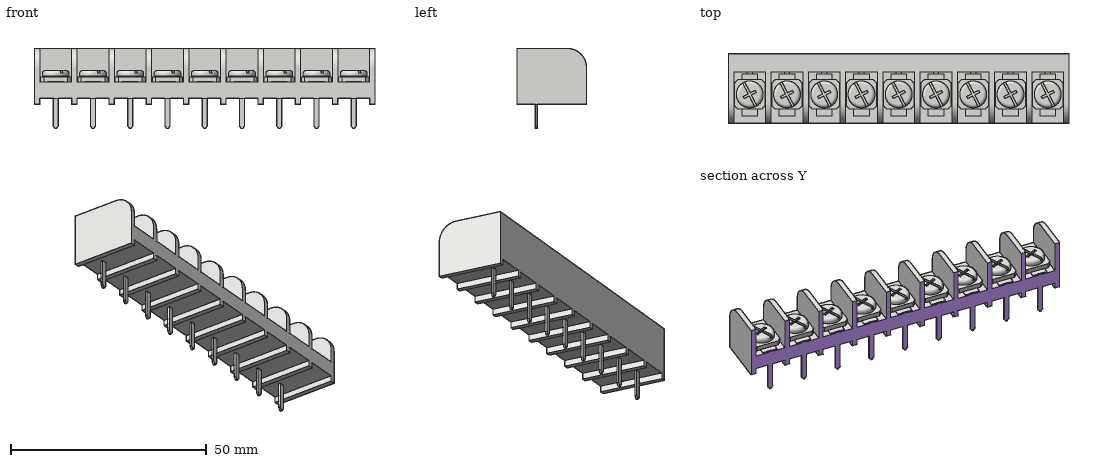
import cadquery as cq


LENGTH = 87
DEPTH = 17.8
BODY_HEIGHT = 14.35
CELL_COUNT = 9
WALL = 1.4
PITCH = (LENGTH - WALL) / CELL_COUNT
CELL_WIDTH = PITCH - WALL
FLOOR_Z = 5.7
BACK_THICKNESS = 4.7
NOSE_RADIUS = 5.0
FOOT_HEIGHT = 1.6

FRONT_Y = -DEPTH / 2
BACK_Y = DEPTH / 2
CELL_BACK_Y = BACK_Y - BACK_THICKNESS

TOTAL_HEIGHT = 20.5
PIN_WIDTH = 1.4
PIN_THICKNESS = 0.5
PIN_TIP_WIDTH = 0.35
PIN_TIP_LENGTH = 0.7
PIN_BOTTOM_Z = BODY_HEIGHT - TOTAL_HEIGHT
PIN_Y = CELL_BACK_Y - PIN_THICKNESS / 2

STRIP_WIDTH = 4.0
STRIP_LENGTH = 10.7
STRIP_RISE = 0.1
PIN_TOP_Z = FLOOR_Z + 2 * STRIP_RISE
STRIP_BACK_Y = PIN_Y - PIN_THICKNESS / 2

PLATE_WIDTH = 7.7
PLATE_DEPTH = 7.6
PLATE_HEIGHT = 1.3
PLATE_CORNER = 0.9
PLATE_TOP_Z = FLOOR_Z + PLATE_HEIGHT

SCREW_SETBACK = 7.4
SCREW_Y = FRONT_Y + SCREW_SETBACK
HEAD_DIAMETER = 6.9
HEAD_HEIGHT = 1.4
HEAD_ROUNDING = 0.9
SLOT_WIDTH = 0.6
SLOT_DEPTH = 0.7
CROSS_LENGTH = 3.5
SLOT_ANGLE = 27
HEAD_GAP = 0.3
SHANK_DIAMETER = 4.0

CELL_CENTERS = [(i - (CELL_COUNT - 1) / 2) * PITCH for i in range(CELL_COUNT)]


def block(width, depth, height, x, y, z):
    """Box centred on x and y, standing on z."""
    return cq.Workplane("XY").box(width, depth, height, centered=(True, True, False)).translate((x, y, z))


def make_housing():
    housing = block(LENGTH, DEPTH, BODY_HEIGHT, 0, 0, 0)
    housing = housing.edges("|X and >Z and <Y").fillet(NOSE_RADIUS)
    cell_depth = CELL_BACK_Y - FRONT_Y
    cell_y = (CELL_BACK_Y + FRONT_Y) / 2
    for x in CELL_CENTERS:
        cell = block(CELL_WIDTH, cell_depth, BODY_HEIGHT - FLOOR_Z, x, cell_y, FLOOR_Z)
        foot_gap = block(CELL_WIDTH, DEPTH, FOOT_HEIGHT, x, 0, 0)
        housing = housing.cut(cell).cut(foot_gap)
    return housing


def make_pin():
    half_width = PIN_WIDTH / 2
    half_tip = PIN_TIP_WIDTH / 2
    shoulder_z = PIN_BOTTOM_Z + PIN_TIP_LENGTH
    return (
        cq.Workplane("XZ", origin=(0, PIN_Y, 0))
        .polyline([
            (-half_width, PIN_TOP_Z),
            (-half_width, shoulder_z),
            (-half_tip, PIN_BOTTOM_Z),
            (half_tip, PIN_BOTTOM_Z),
            (half_width, shoulder_z),
            (half_width, PIN_TOP_Z),
        ])
        .close()
        .extrude(PIN_THICKNESS / 2, both=True)
    )


def make_screw():
    head = (
        cq.Workplane("XY")
        .circle(HEAD_DIAMETER / 2)
        .extrude(HEAD_HEIGHT)
        .faces(">Z")
        .edges()
        .fillet(HEAD_ROUNDING)
    )
    slot_z = HEAD_HEIGHT - SLOT_DEPTH
    through_slot = block(SLOT_WIDTH, HEAD_DIAMETER, SLOT_DEPTH, 0, 0, slot_z)
    cross_slot = block(CROSS_LENGTH, SLOT_WIDTH, SLOT_DEPTH, 0, 0, slot_z)
    head = head.cut(through_slot).cut(cross_slot)
    head = head.rotate((0, 0, 0), (0, 0, 1), SLOT_ANGLE)
    shank = cq.Workplane("XY").circle(SHANK_DIAMETER / 2).extrude(-HEAD_GAP)
    return head.union(shank).translate((0, SCREW_Y, PLATE_TOP_Z + HEAD_GAP))


def make_terminal():
    strip_y = STRIP_BACK_Y - STRIP_LENGTH / 2
    strip = block(STRIP_WIDTH, STRIP_LENGTH, STRIP_RISE, 0, strip_y, FLOOR_Z)
    plate = block(PLATE_WIDTH, PLATE_DEPTH, PLATE_HEIGHT, 0, SCREW_Y, FLOOR_Z)
    plate = plate.edges("|Z").chamfer(PLATE_CORNER)
    return make_pin().union(strip).union(plate).union(make_screw())


result = make_housing()
terminal = make_terminal()
for center_x in CELL_CENTERS:
    result = result.union(terminal.translate((center_x, 0, 0)))